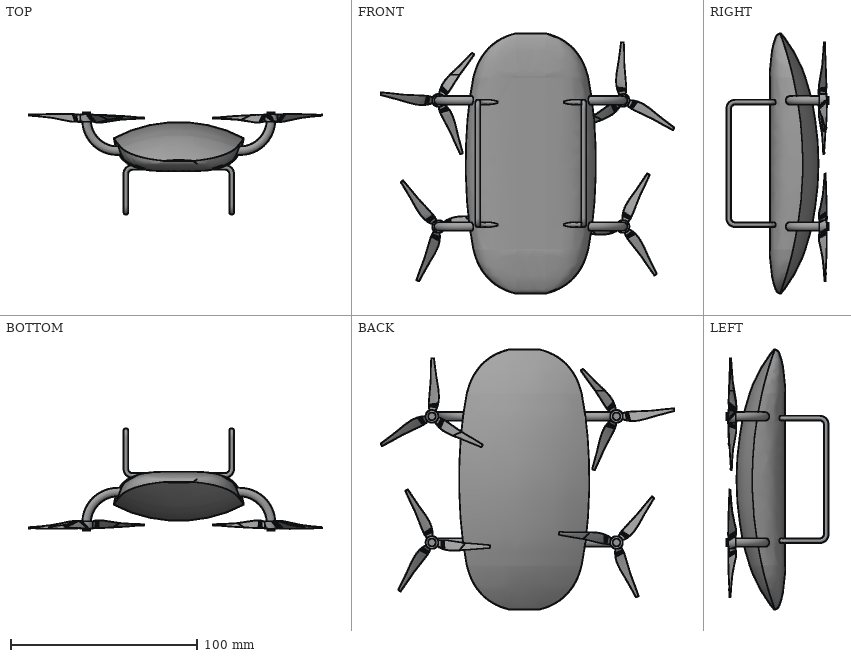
import cadquery as cq
import math


HULL_LENGTH = 139.8
HULL_HALF_LENGTH = HULL_LENGTH / 2
CAP_START = 46.3
RIM_MIDDLE = 17.7
RIM_TIP = 5.5
CREST_MIDDLE = 26.4
CREST_CAP_START = 19.1
TIP_HALF_WIDTH = 8.2
TIP_DEPTH = 0.2
CROWN_RADIUS = 75.0
STRIP_WIDTH = 15.6
STRIP_HALF_WIDTH = STRIP_WIDTH / 2
BILGE_TANGENT = 0.68
BILGE_FLARE = (0.92, 0.27)
CREST_CAP_MIDDLE = (58.7, 13.6)
MIDDLE_INTERVALS = 4
CAP_INTERVALS = 6

ROTOR_SPACING_X = 99.2
ROTOR_SPACING_Z = 67.7
ROTOR_X = ROTOR_SPACING_X / 2
ROTOR_Z = ROTOR_SPACING_Z / 2
ARM_RADIUS = 2.4
ARM_ROOT_Y = 10.9
ARM_BEND = 16.7
ARM_ROOT_X = 28.5

SKID_RADIUS = 1.31
SKID_X = 28.5
LEG_SPACING = 65.8
SKID_Z = LEG_SPACING / 2
SKID_ROOT_X = 15.8
SKID_ROOT_Y = 1.9
RAIL_Y = -22.1
SKID_BEND = 3.5

HUB_RADIUS = 3.5
HUB_BOTTOM = 26.5
HUB_TOP = 30.5
HUB_CAP_RADIUS = 2.0
HUB_CAP_TOP = 31.6
BLADE_COUNT = 3
BLADE_CANT = 1.5
BLADE_THICKNESS = 0.5
BLADE_SECTIONS = [
    (1.9, 1.1, 29.7, -0.8, 27.8),
    (7.7, 3.5, 30.5, -1.7, 26.2),
    (13.6, 3.5, 30.3, -1.3, 27.2),
    (19.5, 2.5, 30.2, -1.0, 28.1),
    (25.3, 1.6, 29.8, -1.0, 28.6),
    (31.3, 0.8, 29.7, -0.8, 28.9),
]
ROTOR_PHASES = {(-1, 1): 53.4, (1, 1): 90.6, (-1, -1): 9.0, (1, -1): 64.1}


def crown_drop(x):
    """How far the canopy arc falls below its crest at a distance x from the middle."""
    return CROWN_RADIUS - math.sqrt(CROWN_RADIUS**2 - x**2)


def circle_through(p, q, r):
    """Centre and radius of the circle through three points."""
    double_cross = 2 * (
        p[0] * (q[1] - r[1]) + q[0] * (r[1] - p[1]) + r[0] * (p[1] - q[1])
    )
    pp, qq, rr = (a**2 + b**2 for a, b in (p, q, r))
    cx = (pp * (q[1] - r[1]) + qq * (r[1] - p[1]) + rr * (p[1] - q[1])) / double_cross
    cy = (pp * (r[0] - q[0]) + qq * (p[0] - r[0]) + rr * (q[0] - p[0])) / double_cross
    return cx, cy, math.hypot(p[0] - cx, p[1] - cy)


def arc_height(z, p, q, r):
    """Y at height z on the upper half of the circle through three (Z, Y) points."""
    centre_z, centre_y, radius = circle_through(p, q, r)
    return centre_y + math.sqrt(radius**2 - (z - centre_z) ** 2)


def rim_height(z):
    """Y of the rim, one arc from tip to tip."""
    tip = (HULL_HALF_LENGTH, RIM_TIP)
    return arc_height(z, (-tip[0], tip[1]), (0, RIM_MIDDLE), tip)


def crest_height(z):
    """Y of the canopy crest, one arc along the middle and one in each cap."""
    cap_start = (CAP_START, CREST_CAP_START)
    if abs(z) <= CAP_START:
        return arc_height(z, (-CAP_START, CREST_CAP_START), (0, CREST_MIDDLE), cap_start)
    tip = (HULL_HALF_LENGTH, RIM_TIP + crown_drop(TIP_HALF_WIDTH))
    return arc_height(abs(z), cap_start, CREST_CAP_MIDDLE, tip)


def belly_height(z):
    """The belly is flat along the middle and rises along a quarter ellipse in each cap."""
    run = max(0, abs(z) - CAP_START) / (HULL_HALF_LENGTH - CAP_START)
    return (RIM_TIP - TIP_DEPTH) * (1 - math.sqrt(max(0, 1 - run**2)))


def half_width(z):
    """Half the width at the rim, where the crown arc has come down to the rim."""
    rise = crest_height(z) - rim_height(z)
    return math.sqrt(2 * CROWN_RADIUS * rise - rise**2)


def canopy_section(z, breaks):
    """Lens-like wire: a crown arc, split at the given X values, over a straight chord."""
    width = half_width(z)
    crest = crest_height(z)

    def crown_point(x):
        return cq.Vector(x, crest - crown_drop(x), z)

    stops = [-width, *breaks, width]
    edges = [
        cq.Edge.makeThreePointArc(crown_point(a), crown_point((a + b) / 2), crown_point(b))
        for a, b in zip(stops, stops[1:])
    ]
    edges.append(cq.Edge.makeLine(crown_point(width), crown_point(-width)))
    return cq.Wire.assembleEdges(edges)


def hull_section(z, breaks):
    """Belly wire: two rounded bilges, a flat strip split at the given X values, a chord on top."""
    width = half_width(z)
    rim = rim_height(z)
    belly = belly_height(z)
    bilge_width = width - STRIP_HALF_WIDTH
    flare_x = STRIP_HALF_WIDTH + BILGE_FLARE[0] * bilge_width
    flare_y = belly + BILGE_FLARE[1] * (rim - belly)
    half = [
        (STRIP_HALF_WIDTH, belly),
        (STRIP_HALF_WIDTH + BILGE_TANGENT * bilge_width, belly),
        (flare_x, flare_y),
        (width, rim),
    ]
    right = [cq.Vector(x, y, z) for x, y in half]
    left = [cq.Vector(-x, y, z) for x, y in reversed(half)]
    strip = [cq.Vector(x, belly, z) for x in (-STRIP_HALF_WIDTH, *breaks, STRIP_HALF_WIDTH)]
    edges = [cq.Edge.makeBezier(left)]
    edges += [cq.Edge.makeLine(a, b) for a, b in zip(strip, strip[1:])]
    edges.append(cq.Edge.makeBezier(right))
    edges.append(cq.Edge.makeLine(right[-1], left[0]))
    return cq.Wire.assembleEdges(edges)


def loft_along_hull(section, cap_breaks):
    """Loft a middle length and two mirrored caps through the sections and join them."""
    middle_heights = [
        CAP_START * (2 * i / MIDDLE_INTERVALS - 1) for i in range(MIDDLE_INTERVALS + 1)
    ]
    cap_length = HULL_HALF_LENGTH - CAP_START
    cap_heights = [
        CAP_START + cap_length * math.sin(math.pi / 2 * i / CAP_INTERVALS)
        for i in range(CAP_INTERVALS + 1)
    ]
    no_breaks = []
    middle = cq.Workplane(cq.Solid.makeLoft([section(z, no_breaks) for z in middle_heights]))
    cap = cq.Workplane(cq.Solid.makeLoft([section(z, cap_breaks) for z in cap_heights]))
    return middle.union(cap).union(cap.mirror("XY"))


def make_arm(side_x, side_z):
    """Round arm that leaves the hull sideways and bends up to the rotor hub."""
    bend_x = ROTOR_X - ARM_BEND
    bend_y = ARM_ROOT_Y + ARM_BEND
    diagonal = ARM_BEND * math.sqrt(0.5)
    z = side_z * ROTOR_Z
    centre_line = (
        cq.Workplane("XY", origin=(0, 0, z))
        .moveTo(side_x * ARM_ROOT_X, ARM_ROOT_Y)
        .lineTo(side_x * bend_x, ARM_ROOT_Y)
        .threePointArc(
            (side_x * (bend_x + diagonal), bend_y - diagonal), (side_x * ROTOR_X, bend_y)
        )
    )
    arm = (
        cq.Workplane("YZ", origin=(side_x * ARM_ROOT_X, ARM_ROOT_Y, z))
        .circle(ARM_RADIUS)
        .sweep(centre_line)
    )
    reach = ROTOR_X
    above_hub_face = cq.Workplane("XY").box(reach, reach, reach).translate(
        (side_x * ROTOR_X, HUB_BOTTOM + reach / 2, z)
    )
    return arm.cut(above_hub_face)


def make_skid(side_x):
    """Round tube: two roots from the hull, two legs and one rail, with rounded elbows."""
    x = side_x * SKID_X
    root_x = side_x * SKID_ROOT_X
    corners = [
        cq.Vector(root_x, SKID_ROOT_Y, SKID_Z),
        cq.Vector(x, SKID_ROOT_Y, SKID_Z),
        cq.Vector(x, RAIL_Y, SKID_Z),
        cq.Vector(x, RAIL_Y, -SKID_Z),
        cq.Vector(x, SKID_ROOT_Y, -SKID_Z),
        cq.Vector(root_x, SKID_ROOT_Y, -SKID_Z),
    ]
    edges = []
    start = corners[0]
    for before, corner, after in zip(corners, corners[1:], corners[2:]):
        back = (before - corner).normalized()
        ahead = (after - corner).normalized()
        bend_start = corner + back * SKID_BEND
        bend_end = corner + ahead * SKID_BEND
        bend_middle = corner + (back + ahead) * (SKID_BEND * (1 - math.sqrt(0.5)))
        edges.append(cq.Edge.makeLine(start, bend_start))
        edges.append(cq.Edge.makeThreePointArc(bend_start, bend_middle, bend_end))
        start = bend_end
    edges.append(cq.Edge.makeLine(start, corners[-1]))
    centre_line = cq.Workplane(cq.Wire.assembleEdges(edges))
    return cq.Workplane("YZ", origin=corners[0].toTuple()).circle(SKID_RADIUS).sweep(centre_line)


def make_blade():
    """Twisted blade along +X of a rotor on the Y axis, lofted through lens-shaped sections."""
    wires = []
    for distance, lead, lead_y, trail, trail_y in BLADE_SECTIONS:
        leading = cq.Vector(distance, lead_y, lead)
        trailing = cq.Vector(distance, trail_y, trail)
        middle = (leading + trailing) * 0.5
        normal = (trailing - leading).cross(cq.Vector(1, 0, 0)).normalized()
        bulge = normal * (BLADE_THICKNESS / 2)
        over = cq.Edge.makeThreePointArc(leading, middle + bulge, trailing)
        under = cq.Edge.makeThreePointArc(trailing, middle - bulge, leading)
        wires.append(cq.Wire.assembleEdges([over, under]))
    return cq.Workplane(cq.Solid.makeLoft(wires))


def make_rotor(side_x, side_z):
    """Hub with a small cap and three blades, seated on the end of its arm."""
    rotor = (
        cq.Workplane("XZ", origin=(0, HUB_BOTTOM, 0))
        .circle(HUB_RADIUS)
        .extrude(HUB_BOTTOM - HUB_TOP)
        .union(
            cq.Workplane("XZ", origin=(0, HUB_BOTTOM, 0))
            .circle(HUB_CAP_RADIUS)
            .extrude(HUB_BOTTOM - HUB_CAP_TOP)
        )
    )
    blade = make_blade()
    hub_middle = (HUB_BOTTOM + HUB_TOP) / 2
    for i in range(BLADE_COUNT):
        angle = ROTOR_PHASES[side_x, side_z] + i * 360 / BLADE_COUNT
        turned = blade.rotate((0, 0, 0), (0, -1, 0), angle)
        canted = turned.rotate((0, hub_middle, 0), (0, hub_middle, 1), side_x * BLADE_CANT)
        rotor = rotor.union(canted)
    return rotor.translate((side_x * ROTOR_X, 0, side_z * ROTOR_Z))


canopy = loft_along_hull(canopy_section, [-STRIP_HALF_WIDTH, STRIP_HALF_WIDTH])

hull = loft_along_hull(hull_section, [0])
for side_x, side_z in ROTOR_PHASES:
    hull = hull.union(make_arm(side_x, side_z))
for side_x in (-1, 1):
    hull = hull.union(make_skid(side_x))

rotors = [make_rotor(side_x, side_z).val() for side_x, side_z in ROTOR_PHASES]

result = cq.Compound.makeCompound([hull.val(), canopy.val(), *rotors])